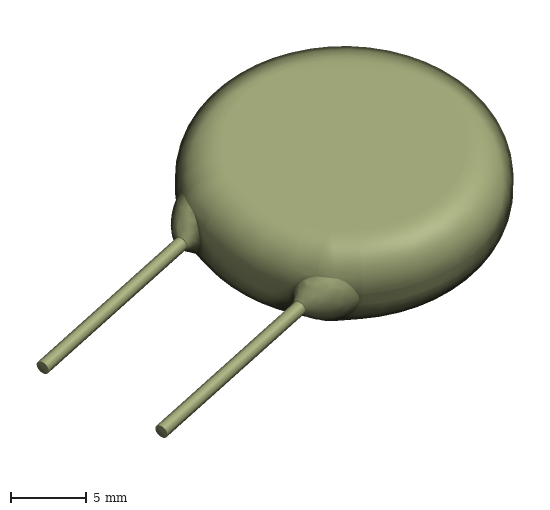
import cadquery as cq
import math

disc_radius = 11.25
disc_thickness = 7.0
edge_radius = 3.0

lead_diameter = 1.0
lead_spacing = 9.98
lead_end_y = -26.25

corner_angle = 31.6
corner_half_angle = 12.4
corner_radius = 3.2

dome_base_half_width = 2.32
dome_base_half_height = 2.0
dome_base_distance = 10.95
dome_middle_radius = 1.42
dome_middle_x = 5.48
dome_middle_y = -10.35
dome_tip_radius = 0.55
dome_tip_y = -disc_radius

lead_x = lead_spacing / 2


def polar(radius, angle):
    """Point at a radius and an angle in degrees, turned from -Y toward +X."""
    turn = math.radians(angle)
    return (radius * math.sin(turn), -radius * math.cos(turn))


def make_disc():
    """Round disc whose outline runs off on tangents to two rounded corners."""
    inner_angle = corner_angle - corner_half_angle
    outer_angle = corner_angle + corner_half_angle
    arc_centre_distance = (disc_radius - corner_radius) / math.cos(math.radians(corner_half_angle))
    centre_x, centre_y = polar(arc_centre_distance, corner_angle)

    def on_corner_arc(angle):
        offset_x, offset_y = polar(corner_radius, angle)
        return (centre_x + offset_x, centre_y + offset_y)

    def mirrored(point):
        return (-point[0], point[1])

    inner_end = polar(disc_radius, inner_angle)
    outer_end = polar(disc_radius, outer_angle)
    arc_start = on_corner_arc(inner_angle)
    arc_middle = on_corner_arc(corner_angle)
    arc_end = on_corner_arc(outer_angle)

    outline = (
        cq.Workplane("XY", origin=(0, 0, -disc_thickness / 2))
        .moveTo(*mirrored(inner_end))
        .threePointArc((0, -disc_radius), inner_end)
        .lineTo(*arc_start)
        .threePointArc(arc_middle, arc_end)
        .lineTo(*outer_end)
        .threePointArc((0, disc_radius), mirrored(outer_end))
        .lineTo(*mirrored(arc_end))
        .threePointArc(mirrored(arc_middle), mirrored(arc_start))
        .close()
    )
    return outline.extrude(disc_thickness).faces("|Z").edges().fillet(edge_radius)


def dome_section(x, y, half_width, half_height, angle):
    """Upright ellipse facing along a direction turned from -Y toward +X."""
    width_direction = (*polar(1, angle + 90), 0)
    facing_direction = (*polar(1, angle), 0)
    plane = cq.Plane(origin=(x, y, 0), xDir=width_direction, normal=facing_direction)
    return cq.Workplane(plane).ellipse(half_width, half_height).wires().val()


def make_dome():
    """Dome on the +X corner, turning from the corner direction to the lead direction."""
    base_x, base_y = polar(dome_base_distance, corner_angle)
    base = dome_section(base_x, base_y, dome_base_half_width, dome_base_half_height, corner_angle)
    middle = dome_section(
        dome_middle_x, dome_middle_y, dome_middle_radius, dome_middle_radius, corner_angle / 2
    )
    tip = dome_section(lead_x, dome_tip_y, dome_tip_radius, dome_tip_radius, 0)
    return cq.Workplane(cq.Solid.makeLoft([base, middle, tip]))


def make_lead():
    """Straight round lead on the +X side, rooted inside the disc."""
    root_y = dome_tip_y + edge_radius
    return (
        cq.Workplane("XZ", origin=(lead_x, root_y, 0))
        .circle(lead_diameter / 2)
        .extrude(root_y - lead_end_y)
    )


terminal = make_dome().union(make_lead())
result = make_disc().union(terminal).union(terminal.mirror("YZ"))